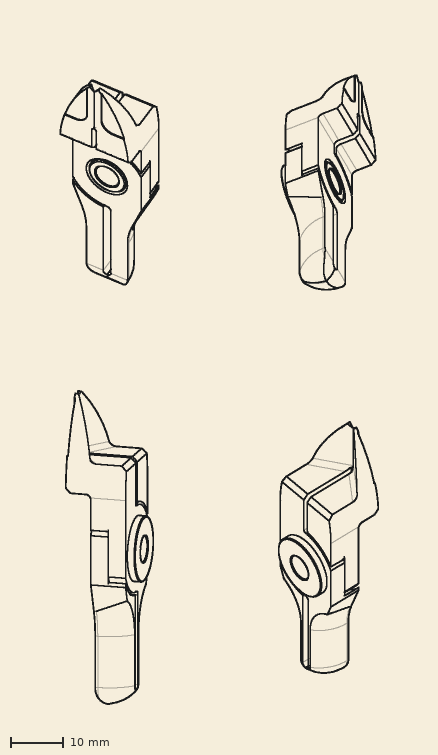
import cadquery as cq
import math


half_width = 7.5
tip_z = 30.0
handle_end_z = -31.1
plate_half = 3.5
jaw_front_y = -8.5

disc_radius = 8.5
clearance_radius = 9.0

jaw_arc_start_z = 11.45
tip_x = 1.0
tip_notch_depth = 1.0
jaw_bottom_z = 12.0
shelf_z = 18.0
jaw_edge = 1.0
beak_angle = 35.0
relief_x = 1.6
relief_z = 19.1
relief_corner = 2.5
relief_depth = 0.2
jaw_slot_width = 1.0
jaw_slot_top_z = 18.5

handle_half_width = 4.5
taper_start_z = -5.8
taper_angle = 20.0
taper_fillet = 15.0
taper_end_z = -16.65
handle_corner = 4.35
handle_flat = 0.5
handle_round = 8.25
back_taper_z = -8.7
end_bevel_depth = 2.0
end_bevel_height = 4.0
handle_slot_width = 1.7
handle_slot_bottom_z = -28.0
round_section_count = 6

shaft_radius = 4.0
bore_radius = 2.5
flange_radius = 6.35
flange_back_y = 5.0
countersink = 0.5
pin_end_chamfer = 0.25
pin_edge_chamfer = 0.2

margin = 1.2


def y_prism(outline, y_start, y_end):
    """Extrude a closed XZ outline between two Y values."""
    return outline.extrude(-(y_end - y_start)).translate((0, y_start, 0))


def y_cylinder(radius, y_start, y_end):
    return y_prism(cq.Workplane("XZ").circle(radius), y_start, y_end)


def y_slot(width, z_low, z_high):
    """Round-ended slot on the centre line, through the whole depth."""
    outline = cq.Workplane("XZ").center(0, (z_low + z_high) / 2).slot2D(z_high - z_low, width, 90)
    return y_prism(outline, jaw_front_y - margin, plate_half + margin)


def jaw_block():
    """Right jaw, x > 0: front outline crossed with the stepped side profile."""
    rise = tip_z - jaw_arc_start_z
    run = half_width - tip_x
    arc_radius = (rise**2 + run**2) / (2 * run)
    mid_angle = math.asin(rise / arc_radius) / 2
    arc_middle = (
        half_width - arc_radius * (1 - math.cos(mid_angle)),
        jaw_arc_start_z + arc_radius * math.sin(mid_angle),
    )
    outline = (
        cq.Workplane("XZ")
        .lineTo(half_width, 0)
        .lineTo(half_width, jaw_arc_start_z)
        .threePointArc(arc_middle, (tip_x, tip_z))
        .lineTo(0, tip_z - tip_notch_depth)
        .close()
    )
    block = y_prism(outline, jaw_front_y, plate_half)
    fillet_middle = jaw_edge * (1 - math.sqrt(0.5))
    profile = (
        cq.Workplane("YZ")
        .moveTo(plate_half, 0)
        .lineTo(plate_half, shelf_z - jaw_edge)
        .lineTo(plate_half - jaw_edge, shelf_z)
        .lineTo(plate_half - jaw_edge, tip_z)
        .lineTo(jaw_front_y, tip_z)
        .lineTo(jaw_front_y, jaw_bottom_z + jaw_edge)
        .lineTo(jaw_front_y + jaw_edge, jaw_bottom_z)
        .lineTo(-plate_half - jaw_edge, jaw_bottom_z)
        .threePointArc(
            (-plate_half - fillet_middle, jaw_bottom_z - fillet_middle),
            (-plate_half, jaw_bottom_z - jaw_edge),
        )
        .lineTo(-plate_half, 0)
        .close()
        .extrude(half_width)
    )
    return block.intersect(profile)


def beak_back_cut():
    """Space behind the beak: sloped wall meeting the shelf in a fillet."""
    slope = math.tan(math.radians(beak_angle))
    outer_x = half_width + margin
    cut = (
        cq.Workplane("XY", origin=(0, 0, shelf_z))
        .moveTo(-margin, jaw_front_y - margin * slope)
        .lineTo(outer_x, jaw_front_y + outer_x * slope)
        .lineTo(outer_x, plate_half + margin)
        .lineTo(-margin, plate_half + margin)
        .close()
        .extrude(tip_z + margin - shelf_z)
    )
    wall_middle = (outer_x / 2, jaw_front_y + outer_x / 2 * slope, shelf_z)
    return cut.edges(cq.NearestToPointSelector(wall_middle)).fillet(jaw_edge)


def face_relief():
    """Shallow step in the front face beside the cutting edge."""
    width = half_width + margin - relief_x
    height = tip_z + margin - relief_z
    step = (
        cq.Workplane("XY")
        .box(width, relief_depth, height, centered=False)
        .edges("<X and <Z")
        .fillet(relief_corner)
    )
    return step.translate((relief_x, jaw_front_y, relief_z))


def jaw():
    slot = y_slot(jaw_slot_width, disc_radius, jaw_slot_top_z)
    return jaw_block().cut(beak_back_cut()).cut(face_relief()).cut(slot)


def taper_point():
    """Point (x, z) where the straight taper meets the concave fillet at the front face."""
    angle = math.radians(taper_angle)
    x = handle_half_width + taper_fillet * (1 - math.cos(angle))
    return x, taper_start_z - (half_width - x) / math.tan(angle)


def concave_arc_middle(start, end):
    """Middle of the arc from start that arrives at end running straight down."""
    run = start[0] - end[0]
    rise = start[1] - end[1]
    radius = (run**2 + rise**2) / (2 * run)
    half_sweep = math.asin(rise / radius) / 2
    return end[0] + radius * (1 - math.cos(half_sweep)), end[1] + radius * math.sin(half_sweep)


def handle_outline():
    """Right handle, x > 0, full size at the front face."""
    waist = (handle_half_width, taper_end_z)
    corner_centre = (handle_half_width - handle_corner, handle_end_z + handle_corner)
    corner_reach = handle_corner * math.sqrt(0.5)
    return (
        cq.Workplane("XZ")
        .lineTo(half_width, 0)
        .lineTo(half_width, taper_start_z)
        .lineTo(*taper_point())
        .threePointArc(concave_arc_middle(taper_point(), waist), waist)
        .lineTo(handle_half_width, corner_centre[1])
        .threePointArc(
            (corner_centre[0] + corner_reach, corner_centre[1] - corner_reach),
            (corner_centre[0], handle_end_z),
        )
        .lineTo(0, handle_end_z)
        .close()
    )


def rounding_section(y):
    """Outline of the material removed outside the rounded handle at one depth y."""
    round_start_y = handle_flat - plate_half
    depth = y - round_start_y
    inset = handle_round - math.sqrt(handle_round**2 - depth**2)
    front_x, front_z = taper_point()
    fraction = depth / (plate_half - round_start_y)
    start_z = front_z + (back_taper_z - front_z) * fraction
    start = (half_width - (taper_start_z - start_z) * math.tan(math.radians(taper_angle)), start_z)
    waist = (handle_half_width - inset, taper_end_z)
    corner_radius = handle_corner - inset
    corner_centre = (handle_half_width - handle_corner, handle_end_z + handle_corner)
    corner_reach = corner_radius * math.sqrt(0.5)
    outer_x = half_width + margin
    bottom_z = handle_end_z - margin
    return (
        cq.Workplane("XZ", origin=(0, y, 0))
        .moveTo(*start)
        .threePointArc(concave_arc_middle(start, waist), waist)
        .lineTo(waist[0], corner_centre[1])
        .threePointArc(
            (corner_centre[0] + corner_reach, corner_centre[1] - corner_reach),
            (corner_centre[0], corner_centre[1] - corner_radius),
        )
        .lineTo(0, corner_centre[1] - corner_radius)
        .lineTo(0, bottom_z)
        .lineTo(outer_x, bottom_z)
        .lineTo(outer_x, start_z)
        .close()
        .val()
    )


def handle_rounding():
    """Cutter that rounds the handle side and end toward the back face."""
    first_y = handle_flat - plate_half
    spacing = (plate_half - first_y) / (round_section_count - 1)
    sections = [rounding_section(first_y + i * spacing) for i in range(round_section_count)]
    return cq.Workplane(cq.Solid.makeLoft(sections))


def end_bevel():
    """Cutter for the curved bevel at the front of the handle end."""
    height = end_bevel_height
    radius = (height**2 + end_bevel_depth**2) / (2 * end_bevel_depth)
    start_z = handle_end_z + height
    half_sweep = math.asin(height / radius) / 2
    arc_middle = (
        -plate_half + radius * (1 - math.cos(half_sweep)),
        start_z - radius * math.sin(half_sweep),
    )
    return (
        cq.Workplane("YZ")
        .moveTo(-plate_half, start_z)
        .threePointArc(arc_middle, (end_bevel_depth - plate_half, handle_end_z))
        .lineTo(end_bevel_depth - plate_half, handle_end_z - margin)
        .lineTo(-plate_half - margin, handle_end_z - margin)
        .lineTo(-plate_half - margin, start_z)
        .close()
        .extrude(half_width)
    )


def handle():
    blank = y_prism(handle_outline(), -plate_half, plate_half)
    slot = y_slot(handle_slot_width, handle_slot_bottom_z, -disc_radius)
    return blank.cut(handle_rounding()).cut(end_bevel()).cut(slot)


def pivot_hole():
    """Pin hole with a countersink in the front face."""
    rim = shaft_radius + countersink
    hole = y_cylinder(shaft_radius, -plate_half, plate_half)
    cone = cq.Solid.makeCone(
        rim, shaft_radius, countersink, pnt=cq.Vector(0, -plate_half, 0), dir=cq.Vector(0, 1, 0)
    )
    return hole.union(cq.Workplane(cone))


def plier_half(jaw_on_left, own_layer, other_layer):
    """Jaw on one side and handle on the other, joined by a half-thickness disc."""
    jaw_part = jaw()
    handle_part = handle()
    if jaw_on_left:
        jaw_part = jaw_part.mirror("YZ")
    else:
        handle_part = handle_part.mirror("YZ")
    clearance = y_cylinder(clearance_radius, *other_layer)
    width_limit = cq.Workplane("XY").box(2 * half_width, 2 * plate_half, 2 * disc_radius)
    disc = y_cylinder(disc_radius, *own_layer).intersect(width_limit)
    return jaw_part.union(handle_part).cut(clearance).union(disc).cut(pivot_hole())


def pivot_pin():
    """Hollow pin, flush with the front face, with a flange behind the plate."""
    shaft = y_cylinder(shaft_radius, -plate_half, plate_half).faces("<Y").chamfer(pin_end_chamfer)
    flange = y_cylinder(flange_radius, plate_half, flange_back_y).faces(">Y").chamfer(pin_edge_chamfer)
    bore = y_cylinder(bore_radius, -plate_half, flange_back_y)
    pin = shaft.union(flange).cut(bore)
    bore_rims = cq.selectors.RadiusNthSelector(0)
    return pin.edges("%CIRCLE").edges(bore_rims).chamfer(pin_edge_chamfer)


front_layer = (-plate_half, 0)
back_layer = (0, plate_half)

left_jaw_half = plier_half(True, front_layer, back_layer)
right_jaw_half = plier_half(False, back_layer, front_layer)
pin = pivot_pin()

result = cq.Compound.makeCompound(
    [left_jaw_half.solids().val(), right_jaw_half.solids().val(), pin.solids().val()]
)